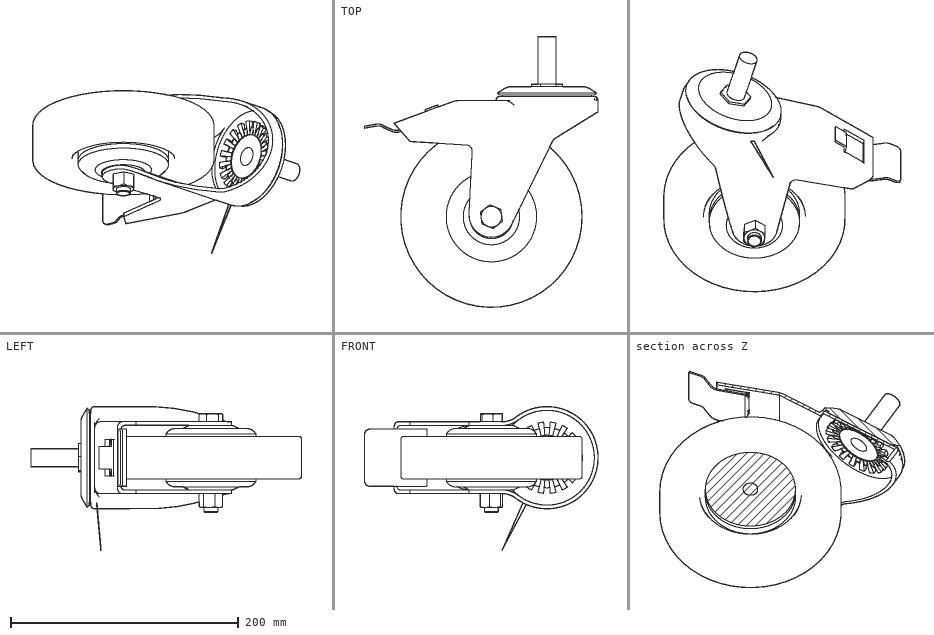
import cadquery as cq
import math


wheel_radius = 80.0
wheel_half_width = 18.8
wheel_edge_radius = 2.9
groove_outer_radius = 50.0
hub_core_radius = 39.8

cover_bottom = 16.5
cover_rim_top = 20.8
cover_shoulder_radius = 38.2
cover_shoulder = 23.0
cover_dome_radius = 35.0
cover_dome = 25.0
cover_flat = 25.8
cover_flat_outer_radius = 31.2
cover_flat_inner_radius = 24.8
cover_hub_radius = 19.3

sheet = 3.3
leg_outer = 31.7
swivel_x = 49.0
boss_radius = 45.0
boss_top = 106.0
boss_edge_radius = 3.5
web_top = 102.3
web_bend_radius = 5.2
web_inner_radius = 4.8
slope_bend_radius = 16.7
flare_start_x = 9.3
leg_tip_radius = 19.8
leg_tip_y = 1.7
leg_outline_fillet = 5.2
front_outline_fillet = 7.2
slope_start = (-31.5, web_top)
slope_end = (-85.9, 82.3)
leg_rear_bottom = (-71.5, 66.0)
leg_rear_corner = (-16.7, 62.7)
leg_front_corner = (54.6, 68.0)
leg_front_top_y = 92.3

axle_radius = 6.2
axle_end = 48.2
axle_chamfer = 0.7
hex_radius = 10.5
bolt_head_height = 7.2
bolt_head_angle = -22
nut_height = 12.2
nut_angle = 20

stem_radius = 8.0
stem_top = 158.5
collar_radius = 13.8
collar_height = 2.1
collar_angle = 5

neck_radius = 39.4
plate_bottom = 107.0
plate_bottom_radius = 42.0
plate_rim_y = 109.0
plate_radius = 43.6
plate_bevel_y = 113.3
plate_bevel_radius = 36.7
plate_top = 114.5
plate_top_radius = 33.5

lever_sheet = 2.0
lever_half_width = 25.3
lever_corner_radius = 5.0
lever_end_radius = 1.5
lever_edge = (-111.9, 77.8)
crest_start = (-101.4, 79.7)
crest_middle = (-98.3, 79.7)
crest_end = (-95.0, 78.2)
valley_start = (-87.5, 75.0)
valley_middle = (-84.0, 74.2)
valley_end = (-79.7, 75.0)
lever_end = (-56.5, 83.0)
hook_half_width = 10.0
hook_base_half_width = 16.2
hook_base_top = 88.0
hook_end_x = -47.2
window_rear_x = -76.8

ring_inner_radius = 19.8
ring_outer_radius = 26.5
tooth_outer_radius = 31.5
ring_height = 1.0
tooth_rise = 2.9
tooth_count = 18
tooth_angle = 9.3

spike_tip = (9.3, 97.0, -81.5)
spike_root_y = 101.0
spike_root_width = 3.5
spike_thickness = 0.5

leg_inner = leg_outer - sheet
boss_inner_radius = boss_radius - sheet
boss_ceiling = boss_top - sheet
boss_right_x = swivel_x + boss_radius
slope_rise = (slope_start[1] - slope_end[1]) / (slope_start[0] - slope_end[0])
slope_drop = sheet * math.hypot(1, slope_rise)
groove_radius = (groove_outer_radius - hub_core_radius) / 2
groove_floor = wheel_half_width - 2 * groove_radius
below = -47.7
beyond_web = slope_end[0] - 7.2


def web_top_at(x):
    """Height of the sloping web's upper face."""
    return slope_start[1] + (x - slope_start[0]) * slope_rise


def tangent_point(corner, side):
    """Point where a line from the corner touches the rounded leg tip (side -1 left, +1 right)."""
    dx = corner[0]
    dy = corner[1] - leg_tip_y
    turn = math.acos(leg_tip_radius / math.hypot(dx, dy))
    angle = math.atan2(dy, dx) - side * turn
    return (leg_tip_radius * math.cos(angle), leg_tip_y + leg_tip_radius * math.sin(angle))


def edge_at(corner):
    """Selector for the upright edge of the side contour at a corner."""
    x, y = corner
    return cq.selectors.BoxSelector((x - 0.2, y - 0.2, -2.5), (x + 0.2, y + 0.2, 2.5))


def cylinder_y(x, radius, bottom, top):
    """Upright cylinder along Y at the given x."""
    return cq.Workplane("XZ", origin=(x, bottom, 0)).circle(radius).extrude(bottom - top)


def cylinder_z(radius, start, end):
    """Cylinder along Z on the axle."""
    return cq.Workplane("XY", origin=(0, 0, start)).circle(radius).extrude(end - start)


def tail_outline(half_width, circle_radius):
    """Plan of the fork behind the boss: straight legs flaring into the boss circle."""
    reach = swivel_x - flare_start_x
    outer_flare = (reach ** 2 + leg_outer ** 2 - boss_radius ** 2) / (2 * (boss_radius - leg_outer))
    centre_z = leg_outer + outer_flare
    flare = centre_z - half_width
    end_angle = math.atan2(centre_z, reach)
    end = (swivel_x - circle_radius * math.cos(end_angle), circle_radius * math.sin(end_angle))
    mid_angle = -(math.pi / 2 + end_angle) / 2
    mid = (flare_start_x + flare * math.cos(mid_angle), centre_z + flare * math.sin(mid_angle))
    return (
        cq.Workplane("XZ", origin=(0, below, 0))
        .moveTo(beyond_web, -half_width)
        .lineTo(flare_start_x, -half_width)
        .threePointArc((mid[0], -mid[1]), (end[0], -end[1]))
        .lineTo(swivel_x, 0)
        .lineTo(end[0], end[1])
        .threePointArc(mid, (flare_start_x, half_width))
        .lineTo(beyond_web, half_width)
        .close()
        .extrude(below - boss_top)
    )


def under_web(depth, drop):
    """Solid below the web: the top face is lowered by depth, its slope by drop."""
    bend_x = slope_start[0] + (drop - depth) / slope_rise
    return (
        cq.Workplane("XY", origin=(0, 0, -boss_radius))
        .polyline([
            (beyond_web, below),
            (beyond_web, web_top_at(beyond_web) - drop),
            (bend_x, web_top - depth),
            (swivel_x, web_top - depth),
            (swivel_x, below),
        ])
        .close()
        .extrude(2 * boss_radius)
    )


def outer_tail():
    """Outside of the web and legs, rounded where the web slopes and along both long edges."""
    solid = under_web(0, 0)
    solid = solid.edges(edge_at(slope_start)).fillet(slope_bend_radius)
    block = tail_outline(leg_outer, boss_radius).intersect(solid)
    long_edges = block.edges().filter(
        lambda edge: edge.Center().y > slope_end[1] - web_bend_radius
        and abs(edge.Center().z) > leg_outer - 0.02
        and edge.BoundingBox().xlen > 2.5
    )
    return long_edges.fillet(web_bend_radius)


def inner_tail():
    """Inside of the web and legs, one sheet smaller, rounded along the sloping edges only."""
    block = tail_outline(leg_inner, boss_inner_radius).intersect(under_web(sheet, slope_drop))
    slope_edges = block.edges().filter(
        lambda edge: abs(edge.Center().z) > leg_inner - 0.02
        and edge.BoundingBox().xlen > 2.5
        and 2.5 < edge.BoundingBox().ylen < web_top
    )
    return slope_edges.fillet(web_inner_radius)


def side_outline():
    """Side contour of the fork, cut through both legs."""
    left = tangent_point(leg_rear_corner, -1)
    right = tangent_point(leg_front_corner, 1)
    margin = 2.5
    contour = (
        cq.Workplane("XY", origin=(0, 0, -boss_radius - margin))
        .moveTo(*slope_end)
        .lineTo(*leg_rear_bottom)
        .lineTo(*leg_rear_corner)
        .lineTo(*left)
        .threePointArc((0, leg_tip_y - leg_tip_radius), right)
        .lineTo(*leg_front_corner)
        .lineTo(boss_right_x, leg_front_top_y)
        .lineTo(boss_right_x, boss_top)
        .lineTo(slope_start[0], boss_top)
        .close()
        .extrude(2 * (boss_radius + margin))
    )
    contour = contour.edges(edge_at(leg_rear_corner)).fillet(leg_outline_fillet)
    return contour.edges(edge_at(leg_front_corner)).fillet(front_outline_fillet)


def make_fork():
    outer_boss = cylinder_y(swivel_x, boss_radius, below, boss_top)
    outer_boss = outer_boss.faces(">Y").edges().fillet(boss_edge_radius)
    inner_boss = cylinder_y(swivel_x, boss_inner_radius, below, boss_ceiling)
    shell = outer_tail().union(outer_boss)
    shell = shell.cut(inner_tail()).cut(inner_boss).intersect(side_outline())

    window_length = lever_end[0] - window_rear_x
    window_bottom = web_top_at(window_rear_x) - 2 * sheet
    window = (
        cq.Workplane("XY")
        .box(window_length, web_top - window_bottom, 2 * hook_base_half_width, centered=(False, False, True))
        .translate((window_rear_x, window_bottom, 0))
    )
    stem_hole = cylinder_y(swivel_x, stem_radius, boss_ceiling, boss_top)
    axle_hole = cylinder_z(axle_radius, -leg_outer, leg_outer)
    return shell.cut(window).cut(stem_hole).cut(axle_hole).union(make_spike())


def make_spike():
    """Thin tapering blade that points away from the swivel axis, rooted in the boss wall."""
    reach = math.hypot(spike_tip[0] - swivel_x, spike_tip[2])
    out_x = (spike_tip[0] - swivel_x) / reach
    out_z = spike_tip[2] / reach
    root_x = swivel_x + (boss_radius - sheet / 2) * out_x
    root_z = (boss_radius - sheet / 2) * out_z
    half = spike_root_width / 2
    outline = cq.Wire.makePolygon(
        [
            cq.Vector(root_x - half * out_z, spike_root_y, root_z + half * out_x),
            cq.Vector(root_x + half * out_z, spike_root_y, root_z - half * out_x),
            cq.Vector(*spike_tip),
        ],
        close=True,
    )
    blade = cq.Solid.extrudeLinear(outline, [], cq.Vector(0, -spike_thickness, 0))
    return cq.Workplane(obj=blade)


def make_swivel_plate():
    """Bevelled disc on a short neck that rests on the boss."""
    return (
        cq.Workplane("XY")
        .polyline([
            (stem_radius, boss_top),
            (neck_radius, boss_top),
            (neck_radius, plate_bottom),
            (plate_bottom_radius, plate_bottom),
            (plate_radius, plate_rim_y),
            (plate_bevel_radius, plate_bevel_y),
            (plate_top_radius, plate_top),
            (stem_radius, plate_top),
        ])
        .close()
        .revolve(360, (0, 0, 0), (0, 1, 0))
        .translate((swivel_x, 0, 0))
    )


def make_stem():
    """Plain stem with a hexagonal collar on the swivel plate."""
    shank = cylinder_y(swivel_x, stem_radius, boss_ceiling, stem_top)
    collar = (
        cq.Workplane("XZ")
        .polygon(6, 2 * collar_radius)
        .extrude(-collar_height)
        .rotate((0, 0, 0), (0, 1, 0), collar_angle)
        .translate((swivel_x, plate_top, 0))
    )
    return shank.union(collar)


def make_toothed_ring():
    """Ring under the boss with radial ramps that grow outwards."""
    base = cylinder_y(0, ring_outer_radius, -ring_height, 0).cut(
        cylinder_y(0, ring_inner_radius, -ring_height, 0)
    )
    tooth_bottom = -(ring_height + tooth_rise)
    ramp = (
        cq.Workplane("XY")
        .polyline([
            (ring_inner_radius, 0),
            (ring_inner_radius, -ring_height),
            (tooth_outer_radius, tooth_bottom),
            (tooth_outer_radius, 0),
        ])
        .close()
        .revolve(tooth_angle, (0, 0, 0), (0, 1, 0))
    )
    pitch = 360 / tooth_count
    teeth = []
    for index in range(tooth_count):
        angle = index * pitch - tooth_angle / 2
        teeth.append(ramp.rotate((0, 0, 0), (0, 1, 0), angle).val())
    ring = base.val().fuse(*teeth)
    return cq.Workplane(obj=ring).translate((swivel_x, boss_ceiling, 0))


def raised(point):
    """Point on the upper side of the lever strip above a point on its underside."""
    return (point[0], point[1] + lever_sheet)


def make_lever():
    """Wavy pedal strip with an upturned end whose strap hooks over the fork web."""
    strip = (
        cq.Workplane("XY", origin=(0, 0, -lever_half_width))
        .moveTo(*lever_edge)
        .lineTo(*crest_start)
        .threePointArc(crest_middle, crest_end)
        .lineTo(*valley_start)
        .threePointArc(valley_middle, valley_end)
        .lineTo(*lever_end)
        .lineTo(*raised(lever_end))
        .lineTo(*raised(valley_end))
        .threePointArc(raised(valley_middle), raised(valley_start))
        .lineTo(*raised(crest_end))
        .threePointArc(raised(crest_middle), raised(crest_start))
        .lineTo(*raised(lever_edge))
        .close()
        .extrude(2 * lever_half_width)
    )
    strip = strip.faces("<X").edges("|Y").fillet(lever_corner_radius)
    strip = strip.faces(">X").edges("|Y").fillet(lever_end_radius)

    front_x, strip_y = lever_end
    back_x = front_x - lever_sheet
    hook_base = (
        cq.Workplane("XY")
        .box(lever_sheet, hook_base_top - strip_y, 2 * hook_base_half_width, centered=(False, False, True))
        .translate((back_x, strip_y, 0))
    )

    bend_y = web_top_at(front_x)
    bend_offset = lever_sheet * math.sqrt(0.5)
    strap_foot_y = hook_base_top - lever_sheet
    strap_end = (hook_end_x, web_top_at(hook_end_x))
    strap = (
        cq.Workplane("XY", origin=(0, 0, -hook_half_width))
        .moveTo(back_x, strap_foot_y)
        .lineTo(back_x, bend_y)
        .threePointArc((front_x - bend_offset, bend_y + bend_offset), (front_x, bend_y + lever_sheet))
        .lineTo(*raised(strap_end))
        .lineTo(*strap_end)
        .lineTo(front_x, bend_y)
        .lineTo(front_x, strap_foot_y)
        .close()
        .extrude(2 * hook_half_width)
    )
    return strip.union(hook_base).union(strap)


def make_wheel():
    """Tyre and hub core, with an S-shaped groove around the core on both faces."""
    tyre = cylinder_z(wheel_radius, -wheel_half_width, wheel_half_width).edges().fillet(wheel_edge_radius)
    diagonal = groove_radius * math.sqrt(0.5)
    middle_radius = hub_core_radius + groove_radius
    middle_z = groove_floor + groove_radius
    above_face = wheel_half_width + groove_radius
    groove = (
        cq.Workplane("XZ")
        .moveTo(hub_core_radius, groove_floor)
        .threePointArc(
            (hub_core_radius + diagonal, middle_z - diagonal),
            (middle_radius, middle_z),
        )
        .threePointArc(
            (groove_outer_radius - diagonal, middle_z + diagonal),
            (groove_outer_radius, wheel_half_width),
        )
        .lineTo(groove_outer_radius, above_face)
        .lineTo(0, above_face)
        .lineTo(0, cover_bottom)
        .lineTo(hub_core_radius, cover_bottom)
        .close()
        .revolve(360, (0, 0, 0), (0, 1, 0))
    )
    axle_hole = cylinder_z(axle_radius, -wheel_half_width, wheel_half_width)
    return tyre.cut(groove).cut(groove.mirror("XY")).cut(axle_hole)


def make_cover():
    """Domed cover between the hub core and the fork leg on the +Z side."""
    return (
        cq.Workplane("XZ")
        .moveTo(axle_radius, cover_bottom)
        .lineTo(hub_core_radius, cover_bottom)
        .lineTo(hub_core_radius, cover_rim_top)
        .lineTo(cover_shoulder_radius, cover_shoulder)
        .threePointArc((cover_dome_radius, cover_dome), (cover_flat_outer_radius, cover_flat))
        .lineTo(cover_flat_inner_radius, cover_flat)
        .lineTo(cover_hub_radius, leg_inner)
        .lineTo(axle_radius, leg_inner)
        .close()
        .revolve(360, (0, 0, 0), (0, 1, 0))
    )


def hexagon(height, angle):
    """Hexagonal prism standing on z = 0 whose upper corners are chamfered at 30 degrees."""
    flat_radius = hex_radius * math.cos(math.pi / 6)
    corner_drop = (hex_radius - flat_radius) * math.tan(math.pi / 6)
    prism = cq.Workplane("XY").polygon(6, 2 * hex_radius).extrude(height)
    dome = (
        cq.Workplane("XZ")
        .polyline([
            (0, 0),
            (hex_radius, 0),
            (hex_radius, height - corner_drop),
            (flat_radius, height),
            (0, height),
        ])
        .close()
        .revolve(360, (0, 0, 0), (0, 1, 0))
    )
    return prism.intersect(dome).rotate((0, 0, 0), (0, 0, 1), angle)


def make_bolt():
    shank = cylinder_z(axle_radius, -axle_end, leg_outer).faces("<Z").edges().chamfer(axle_chamfer)
    head = hexagon(bolt_head_height, bolt_head_angle).translate((0, 0, leg_outer))
    return shank.union(head)


def make_nut():
    body = hexagon(nut_height, nut_angle).mirror("XY").translate((0, 0, -leg_outer))
    return body.cut(cylinder_z(axle_radius, -axle_end, -leg_outer))


fork = make_fork()
swivel_plate = make_swivel_plate()
stem = make_stem()
toothed_ring = make_toothed_ring()
lever = make_lever()
wheel = make_wheel()
covers = []
for turn in (0, 180):
    covers.append(make_cover().rotate((0, 0, 0), (1, 0, 0), turn))
bolt = make_bolt()
nut = make_nut()

result = cq.Compound.makeCompound([
    fork.val(),
    swivel_plate.val(),
    stem.val(),
    toothed_ring.val(),
    lever.val(),
    wheel.val(),
    *[cover.val() for cover in covers],
    bolt.val(),
    nut.val(),
])